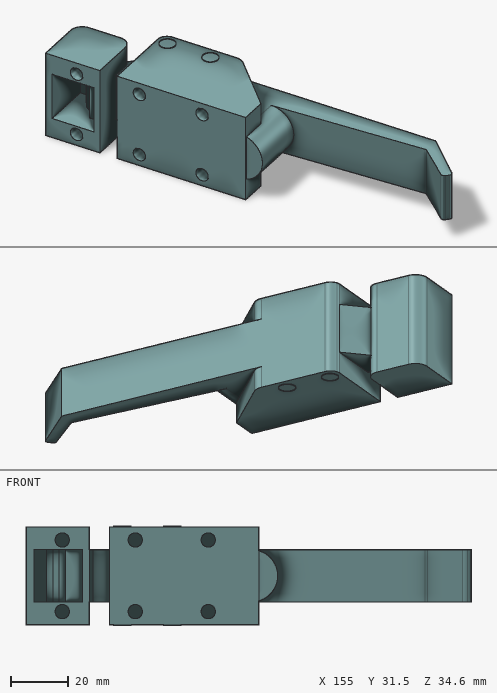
import cadquery as cq
import math

overall_length = 155.0
housing_depth = 31.5
block_width = 34.1
lever_width = 18.3

keeper_length = 22.0
keeper_depth = 21.9
keeper_fillet = 4.6
pocket_wall = 2.6
pocket_end = 19.5
ledge_start = 13.6
ledge_height = 7.0

housing_start = 29.0
housing_end = 81.0
housing_end_height = 10.4
slope_start = 60.8
nose_length = 3.7
nose_arc_depth = 2.3
nose_step = 0.23
nose_depth = 3.4
slope_fillet = 5.5

screw_diameter = 5.0
screw_depth = 12.4
screw_spacing = 25.0
keeper_screw_x = 12.5
housing_screw_x = [38.0, 63.4]

pin_diameter = 6.0
pin_height = 26.8
pin_protrusion = 0.23
pin_x = [33.5, 50.8]

hook_tip_x = 7.1
hook_top = 15.7
hook_bottom = 10.8
hook_bend_x = 23.2
hook_root_bottom = 8.2
hook_root_top = 28.0
hook_slope = math.radians(44)
hook_nose_x = 9.3
hook_nose_height = 12.4
hook_bevel_x = 11.5

lever_start = pin_x[-1]
knob_clearance = 0.5
knob_height = 21.9
knob_centre_x = 78.5
grip_bend_x = 139.3
grip_bend_thickness = 6.5
grip_thickness = 3.9
grip_angle = math.radians(44)
grip_fillet = 1.2


def extrude_centred(sketch, width):
    """Extrude an XY outline by width, symmetric about Z = 0."""
    return sketch.extrude(width / 2, both=True)


def screw_holes(x_positions):
    """Blind screw holes that open in the mounting plane."""
    points = [(x, side * screw_spacing / 2) for x in x_positions for side in (-1, 1)]
    return (
        cq.Workplane("XZ")
        .pushPoints(points)
        .circle(screw_diameter / 2)
        .extrude(-screw_depth)
    )


def make_hook():
    """Hook that reaches from the housing into the keeper."""
    top_end_x = housing_start - (hook_root_top - hook_top) / math.tan(hook_slope)
    outline = (
        cq.Workplane("XY")
        .moveTo(housing_start, hook_root_top)
        .lineTo(top_end_x, hook_top)
        .lineTo(hook_tip_x, hook_top)
        .lineTo(hook_nose_x, hook_nose_height)
        .lineTo(hook_bevel_x, hook_bottom)
        .lineTo(hook_bend_x, hook_bottom)
        .lineTo(housing_start, hook_root_bottom)
        .close()
    )
    return extrude_centred(outline, lever_width)


def make_keeper(hook):
    """Keeper block with a stepped pocket and an opening that matches the hook."""
    block = extrude_centred(
        cq.Workplane("XY").rect(keeper_length, keeper_depth, centered=False), block_width
    )
    block = block.edges("|Z and >Y").fillet(keeper_fillet)
    pocket_outline = (
        cq.Workplane("XY")
        .moveTo(pocket_wall, 0)
        .lineTo(pocket_end, 0)
        .lineTo(pocket_end, ledge_height)
        .lineTo(ledge_start, ledge_height)
        .lineTo(ledge_start, keeper_depth - pocket_wall)
        .lineTo(pocket_wall, keeper_depth - pocket_wall)
        .close()
    )
    pocket = extrude_centred(pocket_outline, lever_width)
    return block.cut(pocket).cut(hook).cut(screw_holes([keeper_screw_x]))


def make_housing():
    """Housing block with a rounded front corner and a rear slope."""
    arc_run = nose_length - nose_step
    nose_radius = (arc_run**2 + nose_arc_depth**2) / (2 * nose_arc_depth)
    outline = (
        cq.Workplane("XY")
        .moveTo(housing_start, 0)
        .lineTo(housing_end, 0)
        .lineTo(housing_end, housing_end_height)
        .lineTo(slope_start, housing_depth)
        .lineTo(housing_start + nose_length, housing_depth)
        .radiusArc((housing_start + nose_step, housing_depth - nose_arc_depth), -nose_radius)
        .lineTo(housing_start, housing_depth - nose_depth)
        .close()
    )
    block = extrude_centred(outline, block_width)
    block = block.edges("|Z").edges(">Y").edges(">X").fillet(slope_fillet)
    return block.cut(screw_holes(housing_screw_x))


def make_pin_heads():
    """Pins across the housing whose heads stand proud of both side faces."""
    outline = (
        cq.Workplane("XY")
        .pushPoints([(x, pin_height) for x in pin_x])
        .circle(pin_diameter / 2)
    )
    return extrude_centred(outline, block_width + 2 * pin_protrusion)


def make_handle():
    """Handle bar that leaves the housing and ends in a bent grip."""
    tip_x = overall_length - grip_fillet * (1 - math.sin(grip_angle) - math.cos(grip_angle))
    reach = (tip_x - grip_bend_x) / math.cos(grip_angle)
    tip_y = housing_depth - reach * math.sin(grip_angle)
    inner_bend_y = housing_depth - grip_bend_thickness
    inner_tip_x = tip_x - grip_thickness * math.sin(grip_angle)
    inner_tip_y = tip_y - grip_thickness * math.cos(grip_angle)
    outline = (
        cq.Workplane("XY")
        .moveTo(lever_start, housing_depth)
        .lineTo(grip_bend_x, housing_depth)
        .lineTo(tip_x, tip_y)
        .lineTo(inner_tip_x, inner_tip_y)
        .lineTo(grip_bend_x, inner_bend_y)
        .lineTo(knob_centre_x, knob_height)
        .lineTo(lever_start, knob_height)
        .close()
    )
    bar = extrude_centred(outline, lever_width)
    rounded_corners = cq.selectors.BoxSelector(
        (grip_bend_x - grip_fillet, inner_tip_y - grip_fillet, -lever_width),
        (overall_length + grip_fillet, inner_bend_y + grip_fillet, lever_width),
    )
    return bar.edges("|Z").edges(rounded_corners).fillet(grip_fillet)


def make_knob():
    """Deep part of the lever, with a half-round end that stands out of the housing."""
    radius = lever_width / 2
    return (
        cq.Workplane("XZ")
        .workplane(offset=-knob_clearance)
        .moveTo(lever_start, -radius)
        .lineTo(knob_centre_x, -radius)
        .threePointArc((knob_centre_x + radius, 0), (knob_centre_x, radius))
        .lineTo(lever_start, radius)
        .close()
        .extrude(knob_clearance - knob_height)
    )


def make_latch(hook):
    """Latch: housing, pin heads, hook and handle in one piece."""
    latch = make_housing().union(hook)
    for feature in (make_pin_heads(), make_handle(), make_knob()):
        latch = latch.union(feature)
    return latch


hook = make_hook()
keeper = make_keeper(hook)
latch = make_latch(hook)

result = cq.Compound.makeCompound([keeper.solids().val(), latch.solids().val()])